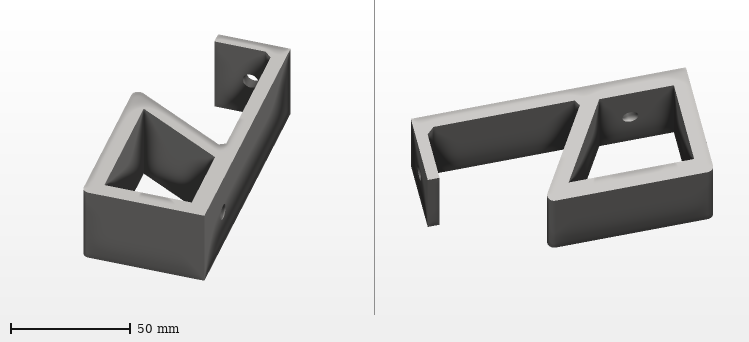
import cadquery as cq
import math

width = 54.1
length = 118.4
height = 34.8

back_wall = 6.2
hook_thickness = 5.1
hook_reach = 32.0
hook_chamfer = 3.2

loop_side_wall = 7.8
loop_end_wall = 7.0
slope = math.tan(math.radians(29.7))
window_back_y = 39.1
valley_x = 45.1
valley_y = 47.7
corner_radius = 3.0

hole_diameter = 6.9
wall_hole_y = 25.7

back_face_x = width - back_wall
hook_face_y = length - hook_thickness
hook_tip_x = width - hook_reach
loop_peak_y = valley_y + slope * valley_x
corner_fill_y = valley_y + slope * (back_face_x - valley_x)
window_right_x = width - loop_side_wall
window_peak_y = window_back_y + slope * (window_right_x - loop_side_wall)
middle_z = height / 2


def make_body():
    """Extruded outline with the two free corners of the loop rounded."""
    outline = [
        (0, 0),
        (width, 0),
        (width, length),
        (hook_tip_x, length),
        (hook_tip_x, hook_face_y),
        (back_face_x - hook_chamfer, hook_face_y),
        (back_face_x, hook_face_y - hook_chamfer),
        (back_face_x, corner_fill_y),
        (valley_x, valley_y),
        (0, loop_peak_y),
    ]
    body = cq.Workplane("XY").polyline(outline).close().extrude(height)
    return body.edges("|Z and <X").fillet(corner_radius)


def make_window():
    """Opening through the loop, with its top parallel to the outer slope."""
    outline = [
        (loop_side_wall, loop_end_wall),
        (window_right_x, loop_end_wall),
        (window_right_x, window_back_y),
        (loop_side_wall, window_peak_y),
    ]
    return cq.Workplane("XY").polyline(outline).close().extrude(height)


def make_hole(start, direction, depth):
    """Screw hole drilled from a wall's inner face to its outer face."""
    return cq.Workplane(
        cq.Solid.makeCylinder(hole_diameter / 2, depth, cq.Vector(*start), cq.Vector(*direction))
    )


hook_hole = make_hole((width - hook_reach / 2, hook_face_y, middle_z), (0, 1, 0), hook_thickness)
wall_hole = make_hole((window_right_x, wall_hole_y, middle_z), (1, 0, 0), loop_side_wall)

result = make_body().cut(make_window()).cut(hook_hole).cut(wall_hole)